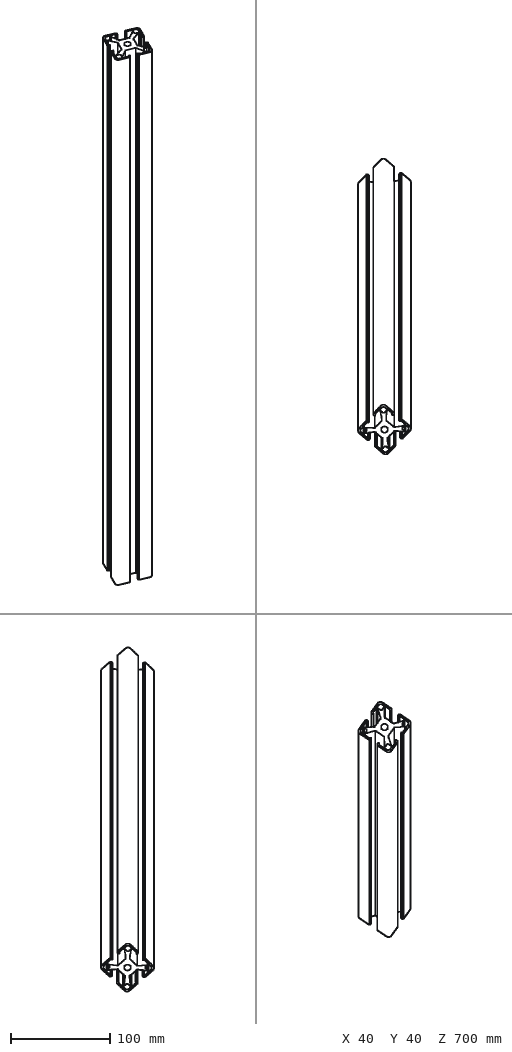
import cadquery as cq

length = 700.0
width = 40.0
half_width = width / 2
corner_radius = 3.5

mouth_width = 8.5
mouth_chamfer = 0.85
wall = 1.7
lip_depth = 2.95
lip_flat = 1.05
lip_taper = 0.9

cavity_width = 24.0
block_depth = 3.5

core_width = 17.0
arm_setback = 2.95
bore_diameter = 6.65

hollow_size = 5.5
hollow_wall = 1.95
hollow_outer_radius = 2.6
hollow_inner_radius = 1.1


def slot_outline():
    """Section of the slot that opens on the +Y side, symmetric about the Y axis."""
    mouth_x = mouth_width / 2
    cavity_x = cavity_width / 2
    core_y = core_width / 2
    lip_y = half_width - lip_depth
    cavity_y = half_width - wall
    right_side = [
        (mouth_x + mouth_chamfer, half_width),
        (mouth_x, half_width - mouth_chamfer),
        (mouth_x, lip_y),
        (mouth_x + lip_flat, lip_y),
        (mouth_x + lip_flat + lip_taper, cavity_y),
        (cavity_x, cavity_y),
        (cavity_x, half_width - block_depth),
        (core_y - arm_setback, core_y),
    ]
    left_side = [(-x, y) for x, y in reversed(right_side)]
    return right_side + left_side


def corner_hollow():
    """Rounded square hollow in the +X +Y corner block."""
    center = half_width - hollow_wall - hollow_size / 2
    hollow = cq.Workplane("XY").rect(hollow_size, hollow_size).extrude(length)
    hollow = hollow.edges("|Z and >X and >Y").fillet(hollow_outer_radius)
    hollow = hollow.edges("|Z and <X and <Y").fillet(hollow_inner_radius)
    return hollow.translate((center, center, 0))


def cut_on_four_sides(body, cutter):
    """Cut the same shape at each quarter turn about the bar's axis."""
    for quarter_turn in range(4):
        body = body.cut(cutter.rotate((0, 0, 0), (0, 0, 1), 90 * quarter_turn))
    return body


bar = cq.Workplane("XY").rect(width, width).extrude(length)
bar = bar.edges("|Z").fillet(corner_radius)

slot = cq.Workplane("XY").polyline(slot_outline()).close().extrude(length)
bar = cut_on_four_sides(bar, slot)
bar = cut_on_four_sides(bar, corner_hollow())

bore = cq.Workplane("XY").circle(bore_diameter / 2).extrude(length)
result = bar.cut(bore)